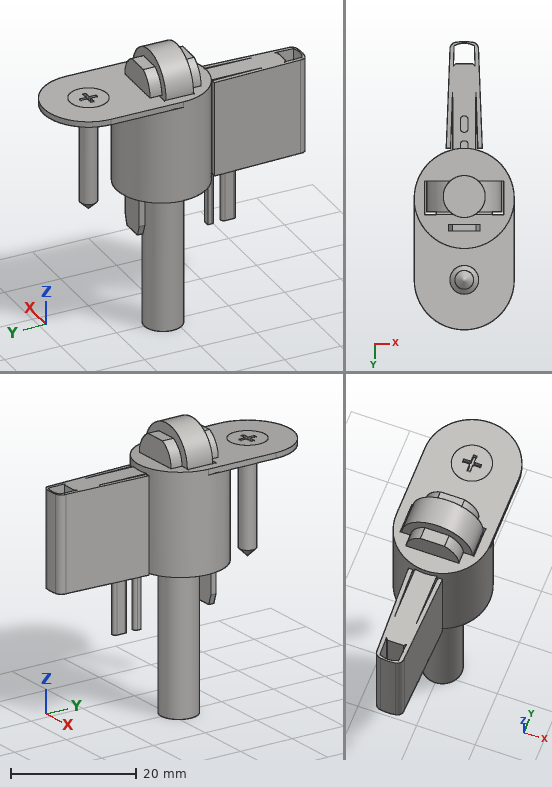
import cadquery as cq


body_radius = 8.0
plate_thickness = 1.0
screw_y = 13.0
barrel_bottom = -18.0
tab_half_width = 2.5
tab_front_y = 4.2
tab_thickness = 1.0
tab_bottom = -26.0
tab_corner_width = 0.6
tab_corner_height = 1.85
window_half_width = 6.3
window_back_y = 2.6

plunger_y = -0.3
head_radius = 6.0
head_length = 4.9
shoulder_radius = 4.5
shoulder_height = 4.0
shoulder_length = 2.1
shaft_radius = 3.35
shaft_bottom = -44.0

screw_head_radius = 3.3
screw_head_depth = 1.8
shank_radius = 1.5
shank_bottom = -18.65
cross_length = 3.0
cross_width = 0.55
cross_depth = 0.75
cross_corner = 0.25

blade_root_y = -body_radius
blade_tip_y = -25.05
arm_outer_root = 2.9
arm_outer_end = 2.3
arm_inner_root = 2.15
arm_inner_end = 1.6
arm_outer_end_y = -23.65
arm_inner_end_y = -24.35
tip_half_width = 1.25
tip_corner_y = -24.95
tip_round_mid = (2.0, -24.6)
tip_wall = 0.3
tongue_half_width = 1.85
tongue_end_y = -21.5
tongue_corner_cut = 0.5
prong_width = 1.2
prong_bottom = -28.0
prong_round = 0.55
front_prong_y = -13.15
front_prong_length = 2.6
rear_prong_length = 1.2

plate_bottom = -plate_thickness
blade_height = plate_bottom - barrel_bottom
head_front_y = plunger_y - head_length / 2
head_back_y = plunger_y + head_length / 2


def cylinder(x, y, bottom, top, radius):
    """Upright cylinder between two heights."""
    return cq.Workplane("XY", origin=(x, y, bottom)).circle(radius).extrude(top - bottom)


def box(x_range, y_range, z_range):
    """Box given by its limits along each axis."""
    size = [high - low for low, high in (x_range, y_range, z_range)]
    corner = (x_range[0], y_range[0], z_range[0])
    return cq.Workplane("XY").box(*size, centered=False).translate(corner)


def lengthwise_disc(radius, front_y, back_y):
    """Disc with its axis along Y, centred on the top face of the plate."""
    return cq.Workplane("XZ", origin=(0, front_y, 0)).circle(radius).extrude(front_y - back_y)


def make_plate():
    plate = cylinder(0, 0, plate_bottom, 0, body_radius)
    plate = plate.union(cylinder(0, screw_y, plate_bottom, 0, body_radius))
    return plate.union(box((-body_radius, body_radius), (0, screw_y), (plate_bottom, 0)))


def make_tab():
    """Flat tab hanging below the barrel, with its lower corners cut off."""
    shoulder_z = tab_bottom + tab_corner_height
    tip_half_span = tab_half_width - tab_corner_width
    return (
        cq.Workplane("XZ", origin=(0, tab_front_y, 0))
        .moveTo(-tab_half_width, barrel_bottom)
        .lineTo(tab_half_width, barrel_bottom)
        .lineTo(tab_half_width, shoulder_z)
        .lineTo(tip_half_span, tab_bottom)
        .lineTo(-tip_half_span, tab_bottom)
        .lineTo(-tab_half_width, shoulder_z)
        .close()
        .extrude(-tab_thickness)
    )


def make_screw_blank():
    """Screw without its drive: countersunk head, shank and 45 degree point."""
    return (
        cq.Workplane("XZ", origin=(0, screw_y, 0))
        .lineTo(screw_head_radius, 0)
        .lineTo(shank_radius, -screw_head_depth)
        .lineTo(shank_radius, shank_bottom)
        .lineTo(0, shank_bottom - shank_radius)
        .close()
        .revolve(360, (0, 0), (0, 1))
    )


def make_screw():
    """Countersunk screw with a cross recess, its inner corners bevelled."""
    drive = cq.Workplane("XY", origin=(0, screw_y, -cross_depth))
    recess = drive.rect(cross_length, cross_width).extrude(cross_depth)
    recess = recess.union(drive.rect(cross_width, cross_length).extrude(cross_depth))
    diamond_diagonal = cross_width + 2 * cross_corner
    recess = recess.union(drive.polygon(4, diamond_diagonal).extrude(cross_depth))
    return make_screw_blank().cut(recess)


def make_plunger():
    """Roller head and flat-topped half-round shoulders on a vertical shaft."""
    head = lengthwise_disc(head_radius, head_front_y, head_back_y)
    shoulder_front_y = head_front_y - shoulder_length
    shoulder_back_y = head_back_y + shoulder_length
    shoulders = lengthwise_disc(shoulder_radius, shoulder_front_y, shoulder_back_y).intersect(
        box(
            (-shoulder_radius, shoulder_radius),
            (shoulder_front_y, shoulder_back_y),
            (0, shoulder_height),
        )
    )
    shaft = cylinder(0, plunger_y, shaft_bottom, plate_bottom, shaft_radius)
    return head.union(shoulders).union(shaft)


def make_housing():
    """Plate, barrel and tab, open for the roller head, the shaft and the screw."""
    housing = make_plate().union(cylinder(0, 0, barrel_bottom, 0, body_radius)).union(make_tab())
    window = box(
        (-window_half_width, window_half_width), (head_front_y, window_back_y), (barrel_bottom, 0)
    )
    shaft_hole = cylinder(0, plunger_y, barrel_bottom, plate_bottom, shaft_radius)
    return housing.cut(window).cut(shaft_hole).cut(make_screw_blank())


def make_spring():
    """Two tapering arms joined at the far end by a thin bowed tip."""
    mid_x, mid_y = tip_round_mid
    return (
        cq.Workplane("XY", origin=(0, 0, barrel_bottom))
        .moveTo(-arm_inner_root, blade_root_y)
        .lineTo(-arm_outer_root, blade_root_y)
        .lineTo(-arm_outer_end, arm_outer_end_y)
        .threePointArc((-mid_x, mid_y), (-tip_half_width, tip_corner_y))
        .threePointArc((0, blade_tip_y), (tip_half_width, tip_corner_y))
        .threePointArc((mid_x, mid_y), (arm_outer_end, arm_outer_end_y))
        .lineTo(arm_outer_root, blade_root_y)
        .lineTo(arm_inner_root, blade_root_y)
        .lineTo(arm_inner_end, arm_inner_end_y)
        .threePointArc((0, blade_tip_y + tip_wall), (-arm_inner_end, arm_inner_end_y))
        .close()
        .extrude(blade_height)
    )


def make_tongue():
    """Block between the arms, running back to the barrel wall."""
    tongue = box(
        (-tongue_half_width, tongue_half_width), (tongue_end_y, 0), (barrel_bottom, plate_bottom)
    )
    tongue = tongue.edges("|Z and <Y").chamfer(tongue_corner_cut)
    return tongue.cut(cylinder(0, 0, barrel_bottom, plate_bottom, body_radius))


def make_prong(front_y, length, rounded_edges):
    """Upright prong below the blade, with the chosen vertical edges rounded."""
    half_width = prong_width / 2
    prong = box(
        (-half_width, half_width), (front_y, front_y + length), (prong_bottom, barrel_bottom)
    )
    return prong.edges(rounded_edges).fillet(prong_round)


def make_blade():
    front_prong = make_prong(front_prong_y, front_prong_length, "|Z")
    rear_prong = make_prong(blade_root_y - rear_prong_length, rear_prong_length, "|Z and <Y")
    return make_spring().union(make_tongue()).union(front_prong).union(rear_prong)


housing = make_housing()
plunger = make_plunger()
screw = make_screw()
blade = make_blade()

result = cq.Compound.makeCompound([housing.val(), plunger.val(), screw.val(), blade.val()])